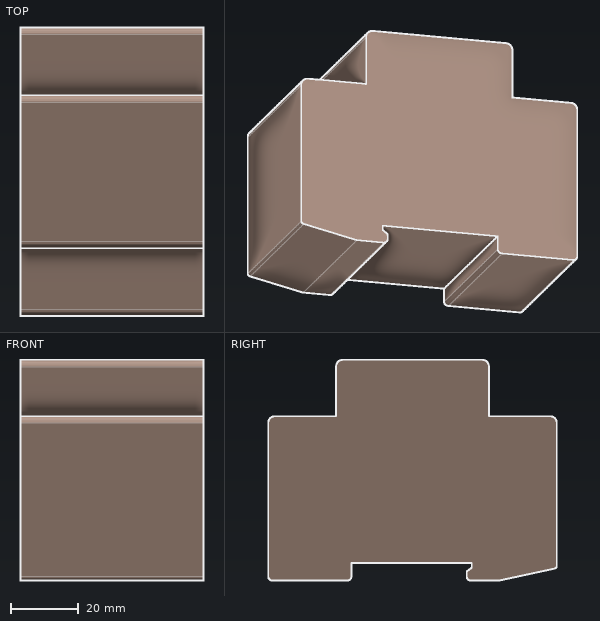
import cadquery as cq

width = 54.0
depth = 85.0
height = 65.0
half_depth = depth / 2

tower_half_depth = 22.5
shoulder_height = 48.45

slot_top = 5.2
slot_front = -17.9
slot_back = 17.4

hook_tip = 15.9
hook_ramp_top = 3.8
hook_ramp_bottom = 2.7

slope_start = 25.5
slope_end_height = 3.65

top_radius = 2.0
bottom_radius = 1.3
hook_radius = 1.3
slope_radius = 0.85

profile = [
    (-half_depth, 0),
    (slot_front, 0),
    (slot_front, slot_top),
    (slot_back, slot_top),
    (slot_back, hook_ramp_top),
    (hook_tip, hook_ramp_bottom),
    (hook_tip, 0),
    (slope_start, 0),
    (half_depth, slope_end_height),
    (half_depth, shoulder_height),
    (tower_half_depth, shoulder_height),
    (tower_half_depth, height),
    (-tower_half_depth, height),
    (-tower_half_depth, shoulder_height),
    (-half_depth, shoulder_height),
]
body = cq.Workplane("YZ").polyline(profile).close().extrude(width / 2, both=True)


def round_edge(part, y, z, radius):
    """Round the edge along X that is nearest to the profile corner (y, z)."""
    return part.edges("|X").edges(cq.NearestToPointSelector((0, y, z))).fillet(radius)


for side in (-1, 1):
    body = round_edge(body, side * tower_half_depth, height, top_radius)
    body = round_edge(body, side * half_depth, shoulder_height, top_radius)

body = round_edge(body, -half_depth, 0, bottom_radius)
body = round_edge(body, slot_front, 0, bottom_radius)
body = round_edge(body, hook_tip, 0, hook_radius)
body = round_edge(body, half_depth, slope_end_height, slope_radius)

result = body